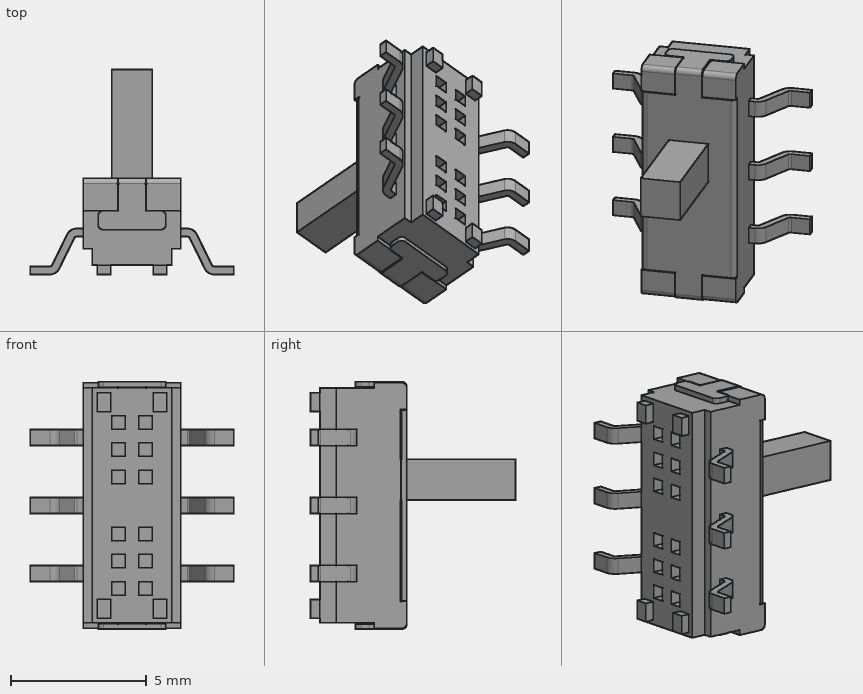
import cadquery as cq
import math


CLEARANCE = 0.03
SHEET = 0.2
WIDTH = 3.6
TOP_Y = 3.55
COVER_END_Z = 4.55
LUG_END_Z = COVER_END_Z - CLEARANCE
BASE_END_Z = LUG_END_Z - SHEET
LUG_BOTTOM_Y = 2.35
STEP_Y = 0.95
STEP_WIDTH = 2.94
BOTTOM_Y = 0.35
SEAT_Y = TOP_Y - SHEET - CLEARANCE

STANDOFF_WIDTH = 0.5
STANDOFF_LENGTH = 0.7
STANDOFF_X = 1.03
STANDOFF_Z = 3.8
POCKET_SIZE = 0.5
POCKET_DEPTH = 0.5
POCKET_X = 0.5
POCKET_ROWS_Z = (1.05, 2.05, 3.05)

PIN_SPAN = 7.5
PIN_WIDTH = 0.6
PIN_THICKNESS = 0.3
PIN_PITCH = 2.5
PIN_UNDERSIDE_Y = 1.4
PIN_KNEE_X = 2.09
PIN_ANKLE_X = 2.78
PIN_INNER_RADIUS = 0.1
PIN_OUTER_RADIUS = PIN_INNER_RADIUS + PIN_THICKNESS

LEVER_SIZE = 1.5
LEVER_LENGTH = 4.0
LEVER_Z = 0.95

PLATE_LENGTH = 7.0
STEM_WIDTH = 1.0
BAR_WIDTH = 2.5
BAR_BOTTOM_Y = 1.65
BAR_TOP_Y = LUG_BOTTOM_Y
BAR_CORNER_RADIUS = 0.2


def block(width, y_low, y_high, length, x=0, z=0):
    """Box centred on x and z that spans y_low to y_high."""
    size_y = y_high - y_low
    return cq.Workplane("XY").box(width, size_y, length).translate((x, y_low + size_y / 2, z))


def make_pin():
    """Pin on the +X side, centred on Z = 0."""
    bend_angle = math.atan2(PIN_UNDERSIDE_Y, PIN_ANKLE_X - PIN_KNEE_X)
    corner_shift = PIN_THICKNESS * math.tan(bend_angle / 2)
    pin_top_y = PIN_UNDERSIDE_Y + PIN_THICKNESS
    upper_knee = (PIN_KNEE_X + corner_shift, pin_top_y)
    upper_ankle = (PIN_ANKLE_X + corner_shift, PIN_THICKNESS)
    root_x = WIDTH / 2 - PIN_THICKNESS
    outline = [
        (root_x, PIN_UNDERSIDE_Y),
        (PIN_KNEE_X, PIN_UNDERSIDE_Y),
        (PIN_ANKLE_X, 0),
        (PIN_SPAN / 2, 0),
        (PIN_SPAN / 2, PIN_THICKNESS),
        upper_ankle,
        upper_knee,
        (root_x, pin_top_y),
    ]
    pin = cq.Workplane("XY").polyline(outline).close().extrude(PIN_WIDTH / 2, both=True)

    def edge_at(point):
        return cq.selectors.NearestToPointSelector((point[0], point[1], 0))

    for inner in ((PIN_KNEE_X, PIN_UNDERSIDE_Y), upper_ankle):
        pin = pin.edges("|Z").edges(edge_at(inner)).fillet(PIN_INNER_RADIUS)
    for outer in ((PIN_ANKLE_X, 0), upper_knee):
        pin = pin.edges("|Z").edges(edge_at(outer)).fillet(PIN_OUTER_RADIUS)
    return pin


def make_housing():
    """Moulded housing with its standoffs, pins and lever."""
    housing = block(WIDTH, LUG_BOTTOM_Y, TOP_Y, 2 * LUG_END_Z)
    housing = housing.edges("|X and >Y").fillet(SHEET)
    housing = housing.union(block(WIDTH, STEP_Y, LUG_BOTTOM_Y, 2 * BASE_END_Z))
    housing = housing.union(block(STEP_WIDTH, BOTTOM_Y, STEP_Y, 2 * BASE_END_Z))

    housing = housing.cut(block(WIDTH, SEAT_Y, TOP_Y, PLATE_LENGTH + 2 * CLEARANCE))
    notch_width = STEM_WIDTH + 2 * CLEARANCE
    housing = housing.cut(block(notch_width, SEAT_Y, TOP_Y, 2 * LUG_END_Z))
    notch_length = LUG_END_Z - BASE_END_Z
    notch_z = (LUG_END_Z + BASE_END_Z) / 2
    for end in (-1, 1):
        housing = housing.cut(block(notch_width, LUG_BOTTOM_Y, TOP_Y, notch_length, z=end * notch_z))

    pocket_top_y = BOTTOM_Y + POCKET_DEPTH
    for side in (-1, 1):
        for end in (-1, 1):
            standoff = block(STANDOFF_WIDTH, 0, BOTTOM_Y, STANDOFF_LENGTH)
            standoff = standoff.translate((side * STANDOFF_X, 0, end * STANDOFF_Z))
            housing = housing.union(standoff)
            for row_z in POCKET_ROWS_Z:
                pocket = block(POCKET_SIZE, BOTTOM_Y, pocket_top_y, POCKET_SIZE, side * POCKET_X, end * row_z)
                housing = housing.cut(pocket)

    pin = make_pin()
    for row in (-1, 0, 1):
        placed_pin = pin.translate((0, 0, row * PIN_PITCH))
        housing = housing.union(placed_pin).union(placed_pin.mirror("YZ"))

    lever = block(LEVER_SIZE, SEAT_Y, TOP_Y + LEVER_LENGTH, LEVER_SIZE, z=LEVER_Z)
    return housing.union(lever)


def make_cover():
    """Sheet cover: a plate with a T-shaped tab bent down over each end."""
    flat_half = WIDTH / 2 - SHEET
    plate_underside_y = TOP_Y - SHEET
    round_offset = SHEET * math.sqrt(0.5)
    round_mid_x = flat_half + round_offset
    round_mid_y = plate_underside_y + round_offset
    plate = (
        cq.Workplane("XY")
        .moveTo(-WIDTH / 2, plate_underside_y)
        .lineTo(WIDTH / 2, plate_underside_y)
        .threePointArc((round_mid_x, round_mid_y), (flat_half, TOP_Y))
        .lineTo(-flat_half, TOP_Y)
        .threePointArc((-round_mid_x, round_mid_y), (-WIDTH / 2, plate_underside_y))
        .close()
        .extrude(PLATE_LENGTH / 2, both=True)
    )
    stems = block(STEM_WIDTH, BAR_TOP_Y, TOP_Y, 2 * COVER_END_Z).edges("|X and >Y").fillet(SHEET)
    stems = stems.cut(block(STEM_WIDTH, BAR_TOP_Y, plate_underside_y, 2 * (COVER_END_Z - SHEET)))
    cover = plate.union(stems)
    for end in (-1, 1):
        bar_z = end * (COVER_END_Z - SHEET / 2)
        bar = block(BAR_WIDTH, BAR_BOTTOM_Y, BAR_TOP_Y, SHEET, z=bar_z)
        cover = cover.union(bar.edges("|Z").fillet(BAR_CORNER_RADIUS))

    return cover.cut(block(LEVER_SIZE, plate_underside_y, TOP_Y, LEVER_SIZE, z=LEVER_Z))


housing = make_housing()
cover = make_cover()

result = cq.Compound.makeCompound([housing.val(), cover.val()])